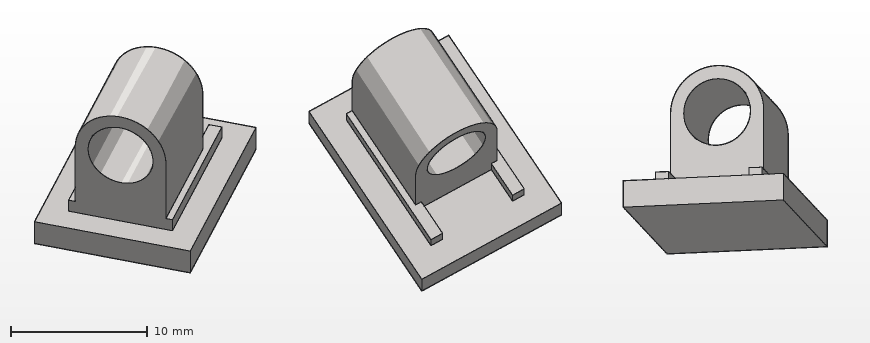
import cadquery as cq

base_width = 12.0
base_length = 16.0
base_thickness = 2.0

rail_inset = 2.0
rail_size = base_thickness / 2
rail_length = base_length - 2 * rail_inset
rail_center_x = base_width / 2 - rail_inset - rail_size / 2

bore_diameter = 5.0
bore_height = 8.0
housing_wall = rail_size
housing_radius = bore_diameter / 2 + housing_wall
housing_length = 9.0
housing_front_y = -rail_length / 2


def make_base():
    return cq.Workplane("XY").box(base_width, base_length, base_thickness, centered=(True, True, False))


def make_rail(center_x):
    return (
        cq.Workplane("XY", origin=(center_x, 0, base_thickness))
        .box(rail_size, rail_length, rail_size, centered=(True, True, False))
    )


def make_housing():
    """Upright block whose rounded top is concentric with the bore."""
    return (
        cq.Workplane("XZ", origin=(0, housing_front_y, 0))
        .moveTo(-housing_radius, base_thickness)
        .lineTo(-housing_radius, bore_height)
        .threePointArc((0, bore_height + housing_radius), (housing_radius, bore_height))
        .lineTo(housing_radius, base_thickness)
        .close()
        .extrude(-housing_length)
    )


def make_bore():
    return (
        cq.Workplane("XZ", origin=(0, housing_front_y, bore_height))
        .circle(bore_diameter / 2)
        .extrude(-housing_length)
    )


result = make_base().union(make_housing())
for side in (-1, 1):
    result = result.union(make_rail(side * rail_center_x))
result = result.cut(make_bore())